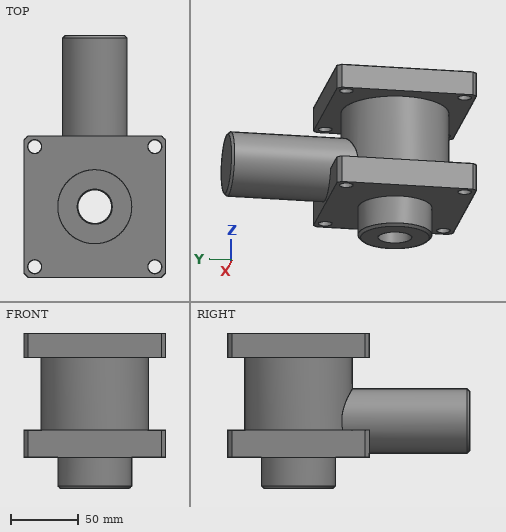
import cadquery as cq

flange_side = 105.0
corner_chamfer = 3.0
top_flange_thickness = 18.0
lower_flange_thickness = 20.1
bolt_spacing = 89.0
bolt_diameter = 10.0

total_height = 115.0
body_diameter = 80.0
spigot_diameter = 55.0
spigot_length = 23.2
edge_chamfer = 2.0

socket_diameter = 55.0
socket_floor_z = spigot_length + lower_flange_thickness
upper_bore_diameter = 26.0
lower_bore_diameter = 25.0
bore_step_z = spigot_length

branch_diameter = 48.0
branch_axis_z = 50.0
total_length = 179.5
branch_end_y = total_length - flange_side / 2


def cylinder(diameter, bottom_z, top_z):
    height = top_z - bottom_z
    return cq.Workplane("XY").workplane(offset=bottom_z).circle(diameter / 2).extrude(height)


def flange(bottom_z, thickness):
    """Square plate with cut corners and a bolt hole near each corner."""
    plate = (
        cq.Workplane("XY")
        .box(flange_side, flange_side, thickness, centered=(True, True, False))
        .edges("|Z")
        .chamfer(corner_chamfer)
        .faces(">Z")
        .workplane()
        .rect(bolt_spacing, bolt_spacing, forConstruction=True)
        .vertices()
        .hole(bolt_diameter)
    )
    return plate.translate((0, 0, bottom_z))


top_flange_z = total_height - top_flange_thickness
lower_flange = flange(spigot_length, lower_flange_thickness)
top_flange = flange(top_flange_z, top_flange_thickness)
spigot = cylinder(spigot_diameter, 0, spigot_length).faces("<Z").chamfer(edge_chamfer)
body = cylinder(body_diameter, spigot_length, total_height)

branch = (
    cq.Workplane("XZ", origin=(0, 0, branch_axis_z))
    .circle(branch_diameter / 2)
    .extrude(-branch_end_y)
    .faces(">Y")
    .chamfer(edge_chamfer)
)

solid = lower_flange.union(top_flange).union(spigot).union(body).union(branch)

result = (
    solid.cut(cylinder(socket_diameter, socket_floor_z, total_height))
    .cut(cylinder(upper_bore_diameter, bore_step_z, socket_floor_z))
    .cut(cylinder(lower_bore_diameter, 0, bore_step_z))
)